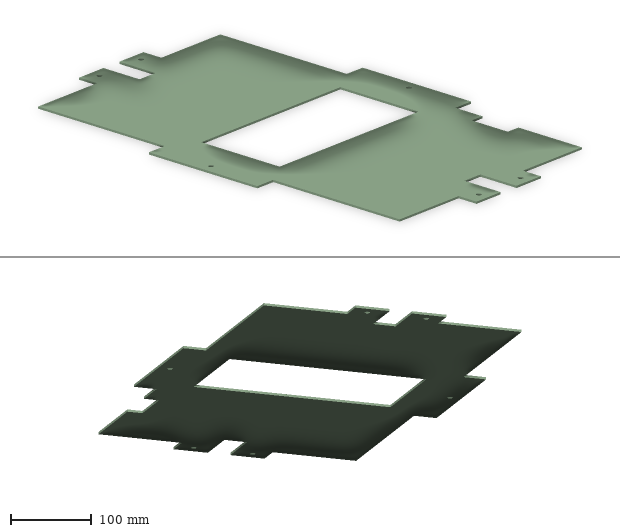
import cadquery as cq

length = 660.0
width = 400.0
thickness = 3.0

tab_projection = 30.0
panel_length = length - 2 * tab_projection
panel_width = width - 2 * tab_projection
end_tab_width = 120.0
side_tab_length = 180.0

window_length = 130.0
window_width = 260.0
slot_depth = 60.0
slot_width = 30.0
notch_length = 60.0
notch_depth = 20.0
notch_center_x = 165.0

hole_diameter = 7.0
hole_inset = tab_projection / 2
end_hole_y = 39.0
end_hole_x = length / 2 - hole_inset
side_hole_y = width / 2 - hole_inset


def plate(size_x, size_y, center_x=0.0, center_y=0.0):
    """Rectangular block of the plate thickness, centred in Z."""
    return cq.Workplane("XY").center(center_x, center_y).box(size_x, size_y, thickness)


body = plate(panel_length, panel_width)
body = body.union(plate(length, end_tab_width))
body = body.union(plate(side_tab_length, width))

body = body.cut(plate(window_length, window_width))

for side in (-1, 1):
    slot_center_x = side * (length - slot_depth) / 2
    body = body.cut(plate(slot_depth, slot_width, slot_center_x))

notch_center_y = (panel_width - notch_depth) / 2
body = body.cut(plate(notch_length, notch_depth, notch_center_x, notch_center_y))

hole_points = [(x, y) for x in (-end_hole_x, end_hole_x) for y in (-end_hole_y, end_hole_y)]
hole_points += [(0, -side_hole_y), (0, side_hole_y)]
holes = cq.Workplane("XY").pushPoints(hole_points).circle(hole_diameter / 2).extrude(thickness, both=True)

result = body.cut(holes)